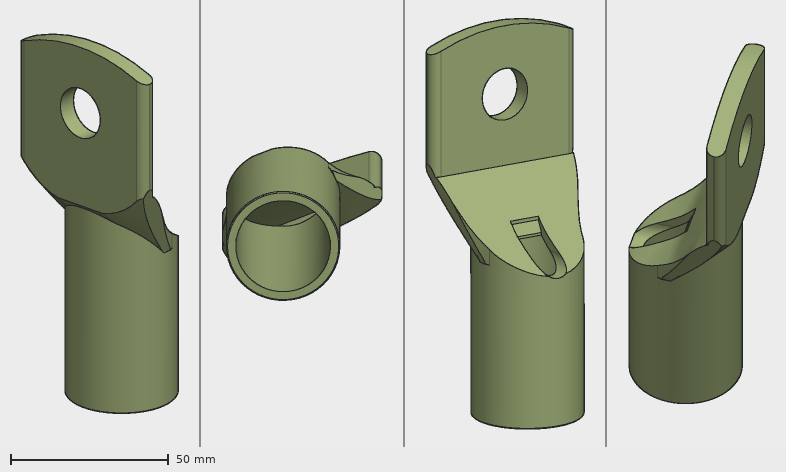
import cadquery as cq
import math

barrel_diameter = 36.0
bore_diameter = 30.0
rim_chamfer = 0.4
barrel_radius = barrel_diameter / 2
bore_radius = bore_diameter / 2

total_height = 124.9
palm_width = 54.0
palm_thickness = 6.2
palm_front = -19.5
palm_back = palm_front + palm_thickness
palm_half = palm_width / 2
palm_edge_radius = 3.0
crown_rise = 6.0
bolt_hole_diameter = 17.0
bolt_hole_z = 102.1

neck_base_z = 53.0
neck_base_y = 4.7
skin_foot_z = 50.0
skin_head_z = 78.7
skin_curve = [(14.7, 52.2), (1.2, 60.7), (-4.2, 66.9), (-8.7, 73.7), (palm_back, skin_head_z)]
flank_curve = [(23.5, -7.1), (19.7, -0.6)]
skin_drop = 3.7
shoulder_z = 82.4
shoulder_foot_z = 53.7
palm_foot_z = 70.3
palm_foot_half = 9.6
palm_corner_mid = (19.2, 74.4)
underside_taper = 44.0

slot_width = 10.5
slot_bottom_z = 49.1
slot_end_outer_y = -1.9
slot_end_inner_y = 0.0
slot_end_outer_z = 62.7
slot_end_inner_z = slot_end_outer_z - skin_drop


def below_skin(drop):
    """Full-width body under the S-shaped neck skin, lowered by drop."""
    return (
        cq.Workplane("YZ", origin=(-palm_half, 0, 0))
        .moveTo(palm_front, 0)
        .lineTo(barrel_radius, 0)
        .lineTo(barrel_radius, skin_foot_z - drop)
        .spline([(y, z - drop) for y, z in skin_curve], includeCurrent=True)
        .lineTo(palm_front, skin_head_z - drop)
        .close()
        .extrude(palm_width)
    )


def make_palm():
    side_top_z = total_height - crown_rise
    plate = (
        cq.Workplane("XZ", origin=(0, palm_front, 0))
        .moveTo(-palm_half, palm_foot_z)
        .lineTo(palm_half, palm_foot_z)
        .lineTo(palm_half, side_top_z)
        .threePointArc((0, total_height), (-palm_half, side_top_z))
        .close()
        .extrude(-palm_thickness)
    )
    return plate.edges("|Z").fillet(palm_edge_radius)


def make_underside_envelope():
    """Palm outline with rounded lower corners, flaring outward towards the back."""
    corner_x, corner_z = palm_corner_mid
    return (
        cq.Workplane("XZ", origin=(0, palm_front, 0))
        .moveTo(-palm_foot_half, palm_foot_z)
        .lineTo(palm_foot_half, palm_foot_z)
        .threePointArc((corner_x, corner_z), (palm_half, shoulder_z))
        .lineTo(palm_half, total_height)
        .lineTo(-palm_half, total_height)
        .lineTo(-palm_half, shoulder_z)
        .threePointArc((-corner_x, corner_z), (-palm_foot_half, palm_foot_z))
        .close()
        .extrude(-(barrel_radius - palm_front), taper=-underside_taper)
    )


def make_sides():
    """Front outline that widens from the barrel to the palm."""
    return (
        cq.Workplane("XZ")
        .polyline(
            [
                (-barrel_radius, neck_base_z),
                (barrel_radius, neck_base_z),
                (barrel_radius, shoulder_foot_z),
                (palm_half, shoulder_z),
                (palm_half, total_height),
                (-palm_half, total_height),
                (-palm_half, shoulder_z),
                (-barrel_radius, shoulder_foot_z),
            ]
        )
        .close()
        .extrude(total_height, both=True)
    )


def make_neck():
    """Upright block with the bell-shaped plan of the neck."""
    waist_x = math.sqrt(barrel_radius**2 - neck_base_y**2)
    left_flank = [(-x, y) for x, y in reversed(flank_curve)]
    return (
        cq.Workplane("XY")
        .moveTo(-palm_half, palm_front)
        .lineTo(palm_half, palm_front)
        .lineTo(palm_half, palm_back)
        .spline(flank_curve + [(waist_x, neck_base_y)], includeCurrent=True)
        .threePointArc((0, barrel_radius), (-waist_x, neck_base_y))
        .spline(left_flank + [(-palm_half, palm_back)], includeCurrent=True)
        .close()
        .extrude(total_height)
    )


def round_neck_edges(neck):
    """Carry the rounded palm edges down the sides of the neck."""
    rounded = (
        cq.Workplane("XY")
        .rect(palm_width, 2 * -palm_front)
        .extrude(total_height)
        .edges("|Z")
        .fillet(palm_edge_radius)
    )
    return neck.intersect(rounded)


def make_slot():
    slot_radius = slot_width / 2
    spring_z = slot_bottom_z + slot_radius
    opening = (
        cq.Workplane("XZ", origin=(0, palm_front, 0))
        .moveTo(-slot_radius, total_height)
        .lineTo(-slot_radius, spring_z)
        .threePointArc((0, slot_bottom_z), (slot_radius, spring_z))
        .lineTo(slot_radius, total_height)
        .close()
        .extrude(-2 * barrel_diameter)
    )
    reach = (
        cq.Workplane("YZ")
        .polyline(
            [
                (slot_end_outer_y, total_height),
                (slot_end_outer_y, slot_end_outer_z),
                (slot_end_inner_y, slot_end_inner_z),
                (slot_end_inner_y, slot_bottom_z),
                (barrel_diameter, slot_bottom_z),
                (barrel_diameter, total_height),
            ]
        )
        .close()
        .extrude(slot_width, both=True)
    )
    return opening.intersect(reach)


barrel = cq.Workplane("XY").circle(barrel_radius).extrude(palm_foot_z)
barrel = barrel.faces("<Z").chamfer(rim_chamfer)
cavity = cq.Workplane("XY").circle(bore_radius).extrude(total_height).intersect(below_skin(skin_drop))
bolt_hole = (
    cq.Workplane("XZ", origin=(0, palm_front, bolt_hole_z))
    .circle(bolt_hole_diameter / 2)
    .extrude(-palm_thickness)
)

head_envelope = make_underside_envelope().intersect(make_sides())
neck = round_neck_edges(make_neck()).intersect(head_envelope)
palm = make_palm().intersect(head_envelope)

lug = barrel.union(neck).intersect(below_skin(0)).union(palm)
result = lug.cut(cavity).cut(make_slot()).cut(bolt_hole)